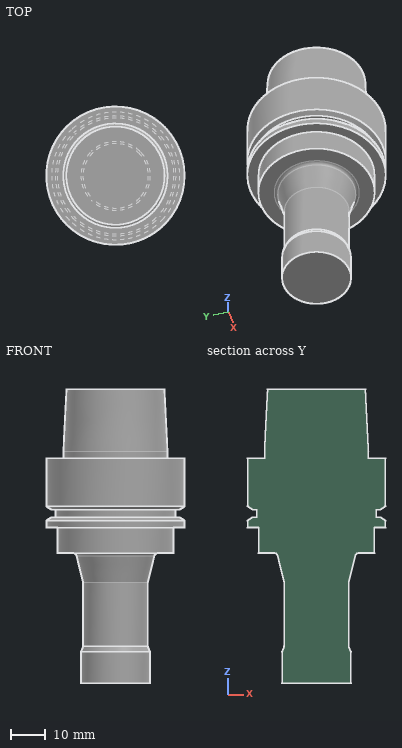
import cadquery as cq

total_height = 85.0
collar_top = 9.1
collar_cone_top = 10.6
neck_top = 29.15
hub_bottom = 37.6
lip_bottom = 45.0
flange_top = 65.0
seat_top = 67.0

groove_bottom = 48.0
groove_top = 50.1
rim_chamfer_height = 1.0
rim_chamfer_depth = 1.5

collar_radius = 20.0 / 2
neck_radius = 18.8 / 2
hub_radius = 33.6 / 2
flange_radius = 40.0 / 2
groove_radius = 34.8 / 2
seat_radius = 30.2 / 2
taper_ratio = 0.1
taper_end_radius = seat_radius - taper_ratio * (total_height - seat_top) / 2

flare_radius = 11.5
flare_fillet = 1.0

rim_radius = flange_radius - rim_chamfer_depth

profile = [
    (0, 0),
    (collar_radius, 0),
    (collar_radius, collar_top),
    (neck_radius, collar_cone_top),
    (neck_radius, neck_top),
    (flare_radius, hub_bottom),
    (hub_radius, hub_bottom),
    (hub_radius, lip_bottom),
    (flange_radius, lip_bottom),
    (flange_radius, groove_bottom - rim_chamfer_height),
    (rim_radius, groove_bottom),
    (groove_radius, groove_bottom),
    (groove_radius, groove_top),
    (rim_radius, groove_top),
    (flange_radius, groove_top + rim_chamfer_height),
    (flange_radius, flange_top),
    (seat_radius, flange_top),
    (seat_radius, seat_top),
    (taper_end_radius, total_height),
    (0, total_height),
]

body = cq.Workplane("XZ").polyline(profile).close().revolve(360, (0, 0, 0), (0, 1, 0))

hub_underside = body.faces(cq.selectors.NearestToPointSelector((0, 0, hub_bottom)))
flare_corner = hub_underside.edges(cq.selectors.RadiusNthSelector(0))
result = flare_corner.fillet(flare_fillet)